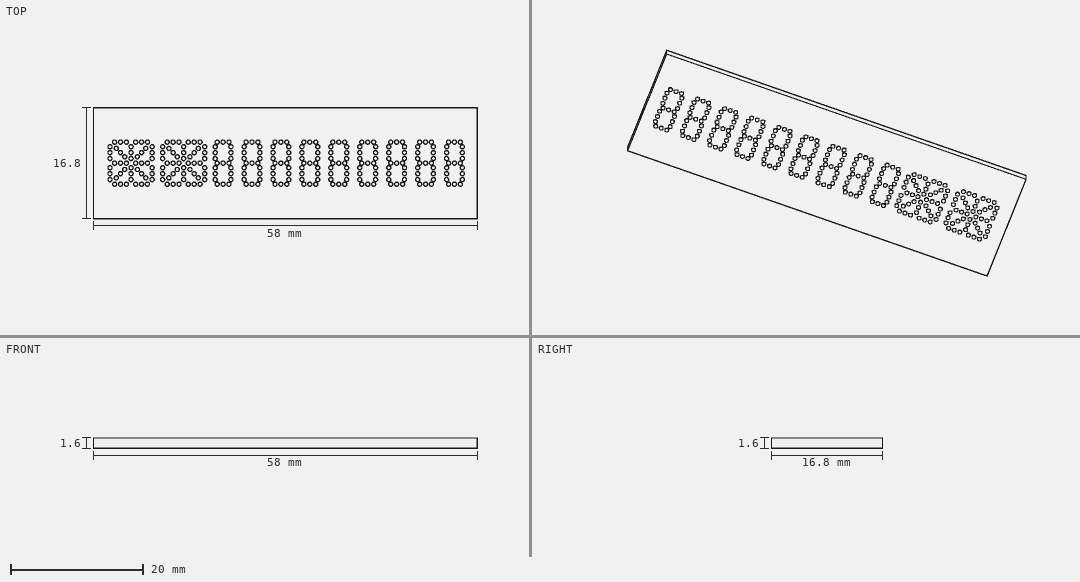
import cadquery as cq
import math

plate_length = 57.95
plate_width = 16.8
plate_thickness = 1.6

grid = 25.4 / 64

hole_diameter = 0.6
hole_pitch = 2.25 * grid

half_segment = 4 * grid

starburst_count = 2
starburst_first_x = -23.3
starburst_spacing = 20 * grid

digit_count = 9
digit_first_x = starburst_first_x + 35 * grid
digit_spacing = 11 * grid
digit_half_width = 3 * grid


def segment(center_x, center_y, angle):
    """Hole centres of one three-hole segment lying at an angle in degrees to +X."""
    step_x = hole_pitch * math.cos(math.radians(angle))
    step_y = hole_pitch * math.sin(math.radians(angle))
    return [(center_x + i * step_x, center_y + i * step_y) for i in (-1, 0, 1)]


def seven_segment_digit(x):
    """Three horizontal bars joined by two uprights on each side."""
    points = []
    for bar_y in (-2 * half_segment, 0, 2 * half_segment):
        points += segment(x, bar_y, 0)
    for upright_x in (x - digit_half_width, x + digit_half_width):
        for upright_y in (-half_segment, half_segment):
            points += segment(upright_x, upright_y, 90)
    return points


def starburst_character(x):
    """Split bars and uprights on a square grid, plus a diagonal in each quadrant."""
    points = []
    for side in (-1, 1):
        for line in (-2, 0, 2):
            points += segment(x + side * half_segment, line * half_segment, 0)
            points += segment(x + line * half_segment, side * half_segment, 90)
        for level in (-1, 1):
            diagonal_angle = 45 * side * level
            points += segment(x + side * half_segment, level * half_segment, diagonal_angle)
    return points


def display_hole_centers():
    """Hole centres of the whole row of characters, from left to right."""
    points = []
    for index in range(starburst_count):
        points += starburst_character(starburst_first_x + index * starburst_spacing)
    for index in range(digit_count):
        points += seven_segment_digit(digit_first_x + index * digit_spacing)
    return points


plate = cq.Workplane("XY").box(
    plate_length, plate_width, plate_thickness, centered=(True, True, False)
)

result = (
    plate.faces(">Z")
    .workplane()
    .pushPoints(display_hole_centers())
    .hole(hole_diameter)
)